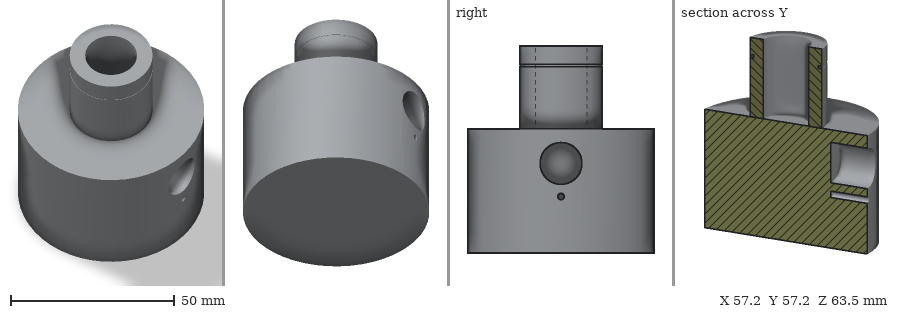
import cadquery as cq

base_diameter = 57.2
base_height = 38.1

stem_diameter = 25.4
stem_height = 25.4
bore_diameter = 15.9

lip_height = 5.65
ring_height = 0.7
ring_inset = 0.1
groove_depth = 1.3

port_diameter = 12.8
port_center_z = 27.5
pin_hole_diameter = 1.9
pin_hole_center_z = 17.35
side_hole_depth = 12.7

base_radius = base_diameter / 2
stem_top = base_height + stem_height
groove_top = stem_top - lip_height
groove_bottom = groove_top - ring_height
groove_diameter = stem_diameter - 2 * groove_depth
ring_diameter = stem_diameter - 2 * ring_inset


def cylinder(diameter, bottom, top):
    """Solid cylinder about the Z axis between two heights."""
    return cq.Workplane("XY").workplane(offset=bottom).circle(diameter / 2).extrude(top - bottom)


def tube(outer_diameter, inner_diameter, bottom, top):
    """Hollow cylinder about the Z axis between two heights."""
    return cylinder(outer_diameter, bottom, top).cut(cylinder(inner_diameter, bottom, top))


def side_hole(diameter, center_z):
    """Cutter for a flat-ended radial hole in the +X side of the base."""
    return (
        cq.Workplane("YZ")
        .workplane(offset=base_radius - side_hole_depth)
        .center(0, center_z)
        .circle(diameter / 2)
        .extrude(side_hole_depth)
    )


def make_base():
    """Drum with a large port and a small pin hole below it."""
    drum = cylinder(base_diameter, 0, base_height)
    port = side_hole(port_diameter, port_center_z)
    pin_hole = side_hole(pin_hole_diameter, pin_hole_center_z)
    return drum.cut(port).cut(pin_hole)


def make_stem():
    """Tube with a groove for the ring near its top."""
    body = tube(stem_diameter, bore_diameter, base_height, stem_top)
    groove = tube(stem_diameter, groove_diameter, groove_bottom, groove_top)
    return body.cut(groove)


def make_ring():
    """Ring that fills the groove except for a shallow inset."""
    return tube(ring_diameter, groove_diameter, groove_bottom, groove_top)


base = make_base()
stem = make_stem()
ring = make_ring()

result = cq.Compound.makeCompound([base.val(), stem.val(), ring.val()])